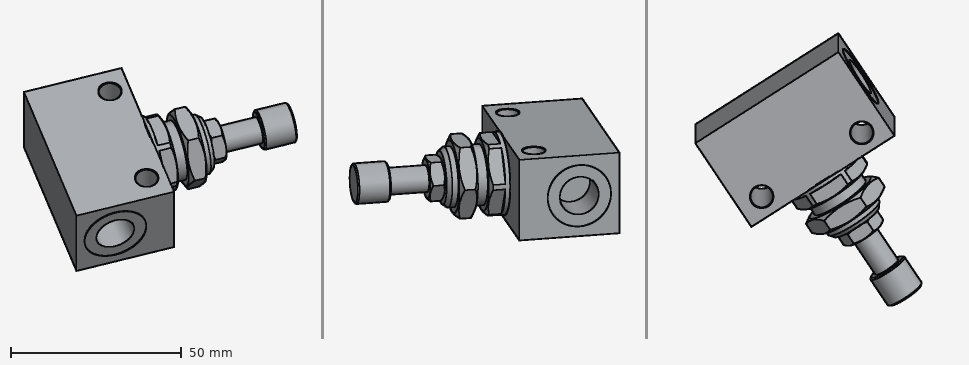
import cadquery as cq
import math

block_width = 50.0
block_length = 30.0
block_thickness = 25.0

mount_diameter = 6.5
mount_chamfer = 0.2
mount_spacing = 35.0
mount_height = 24.0

port_diameter = 11.6
port_depth = 12.0
seal_diameter = 19.0
seal_depth = 0.2
port_height = 12.0

spotface_diameter = 24.9
spotface_depth = 0.2
spotface_level = block_length - spotface_depth

collar_top = 31.35
base_hex_top = 35.95
lock_nut_bottom = 39.2
lock_nut_top = 44.75
thread_top = 47.95
stem_nut_top = 52.4
knob_bottom = 64.1
total_length = 74.1

collar_diameter = 24.5
thread_diameter = 18.0
thread_chamfer_length = 1.4
thread_chamfer_depth = 1.1
stem_diameter = 8.0
knob_diameter = 12.0
knob_chamfer = 0.45

large_hex_flats = 22.0
small_hex_flats = 12.0
hex_chamfer_angle = 30.0
hex_face_ratio = 0.97


def cylinder(diameter, bottom, top):
    """Solid cylinder on the screw axis between two Y levels."""
    return cq.Workplane("XZ", origin=(0, bottom, 0)).circle(diameter / 2).extrude(bottom - top)


def hexagon(flats, bottom, top, chamfer_bottom=True):
    """Hexagon with corners on the X axis and conically chamfered ends."""
    corner_diameter = flats / math.cos(math.pi / 6)
    prism = (
        cq.Workplane("XZ", origin=(0, bottom, 0))
        .polygon(6, corner_diameter)
        .extrude(bottom - top)
    )
    corner_radius = corner_diameter / 2
    face_radius = flats * hex_face_ratio / 2
    drop = (corner_radius - face_radius) * math.tan(math.radians(hex_chamfer_angle))
    profile = cq.Workplane("XY").moveTo(0, bottom)
    if chamfer_bottom:
        profile = profile.lineTo(face_radius, bottom).lineTo(corner_radius, bottom + drop)
    else:
        profile = profile.lineTo(corner_radius, bottom)
    envelope = (
        profile.lineTo(corner_radius, top - drop)
        .lineTo(face_radius, top)
        .lineTo(0, top)
        .close()
        .revolve(360, (0, 0, 0), (0, 1, 0))
    )
    return prism.intersect(envelope)


def make_block():
    """Rectangular block with two mounting holes, two opposite ports and a spotface."""
    block = cq.Workplane("XY").box(
        block_width, block_length, block_thickness, centered=(True, False, True)
    )
    for side in (-1, 1):
        hole = (
            cq.Workplane("XY", origin=(side * mount_spacing / 2, mount_height, 0))
            .circle(mount_diameter / 2)
            .extrude(block_thickness / 2, both=True)
        )
        block = block.cut(hole)
    block = block.faces("<Z or >Z").edges("%CIRCLE").chamfer(mount_chamfer)

    for side in (-1, 1):
        side_face = cq.Workplane("YZ", origin=(side * block_width / 2, port_height, 0))
        block = block.cut(side_face.circle(seal_diameter / 2).extrude(-side * seal_depth))
        block = block.cut(side_face.circle(port_diameter / 2).extrude(-side * port_depth))
    return block.cut(cylinder(spotface_diameter, spotface_level, block_length))


def make_screw():
    """Collar, hexagon base, threaded neck, two nuts, stem and knob."""
    collar = cylinder(collar_diameter, spotface_level, collar_top)
    base_hex = hexagon(large_hex_flats, collar_top, base_hex_top, chamfer_bottom=False)
    base_hex = base_hex.intersect(cylinder(collar_diameter, collar_top, base_hex_top))
    neck = cylinder(thread_diameter, base_hex_top, thread_top)
    neck = neck.faces(">Y").chamfer(thread_chamfer_length, thread_chamfer_depth)
    lock_nut = hexagon(large_hex_flats, lock_nut_bottom, lock_nut_top)
    stem_nut = hexagon(small_hex_flats, thread_top, stem_nut_top)
    stem = cylinder(stem_diameter, stem_nut_top, knob_bottom)
    knob = cylinder(knob_diameter, knob_bottom, total_length)
    knob = knob.faces("<Y or >Y").chamfer(knob_chamfer)

    screw = collar
    for section in (base_hex, neck, lock_nut, stem_nut, stem, knob):
        screw = screw.union(section)
    return screw


result = make_block().union(make_screw())